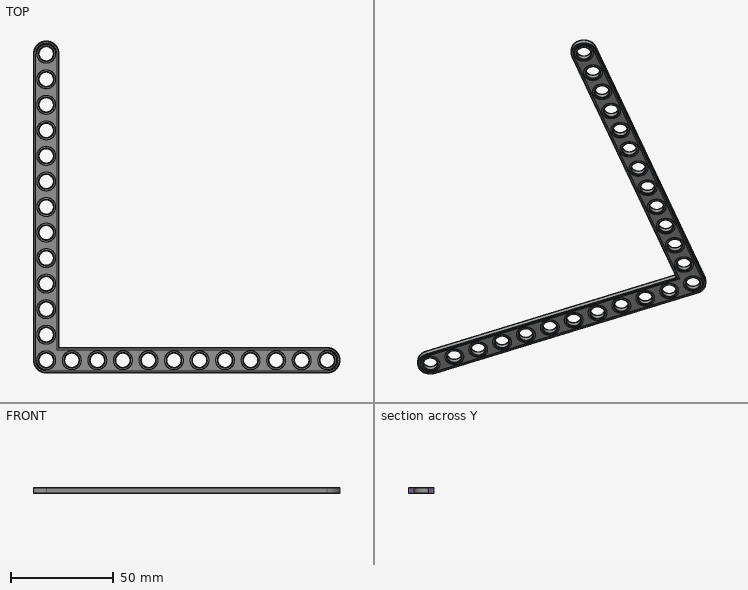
import cadquery as cq

total_length = 162.5
long_arm_holes = 13
short_arm_holes = 12
thickness = 3.1
hole_diameter = 7.0
collar_diameter = 9.3
rim_width = 1.1
recess_depth = 0.2
edge_chamfer = 0.3

pitch = total_length / long_arm_holes
strip_width = pitch
long_arm_span = (long_arm_holes - 1) * pitch
short_arm_span = (short_arm_holes - 1) * pitch

hole_centres = [(column * pitch, 0) for column in range(short_arm_holes)]
hole_centres += [(0, row * pitch) for row in range(1, long_arm_holes)]


def round_ended_strip(span, width, height, angle):
    """Strip centred on the holes from the corner to the arm's end, with full-round ends."""
    return (
        cq.Workplane("XY")
        .transformed(rotate=(0, 0, angle))
        .center(span / 2, 0)
        .slot2D(span + width, width)
        .extrude(height)
    )


def angle_plate(width, height):
    """L-shaped plate: short arm along X, long arm along Y."""
    short_arm = round_ended_strip(short_arm_span, width, height, 0)
    long_arm = round_ended_strip(long_arm_span, width, height, 90)
    return short_arm.union(long_arm).clean()


def discs(diameter, height):
    """One disc at every hole position."""
    return cq.Workplane("XY").pushPoints(hole_centres).circle(diameter / 2).extrude(height)


def face_recess():
    """Shallow floor area, leaving a raised outer rim and a raised collar around each hole."""
    floor_width = strip_width - 2 * rim_width
    return angle_plate(floor_width, recess_depth).cut(discs(collar_diameter, recess_depth))


plate = angle_plate(strip_width, thickness)
plate = plate.faces("<Z or >Z").edges().chamfer(edge_chamfer)

recess = face_recess()
plate = plate.cut(recess)
plate = plate.cut(recess.translate((0, 0, thickness - recess_depth)))

plate = plate.cut(discs(hole_diameter, thickness))
hole_mouths = plate.faces("<Z or >Z").edges(cq.selectors.RadiusNthSelector(0))
result = hole_mouths.chamfer(edge_chamfer)